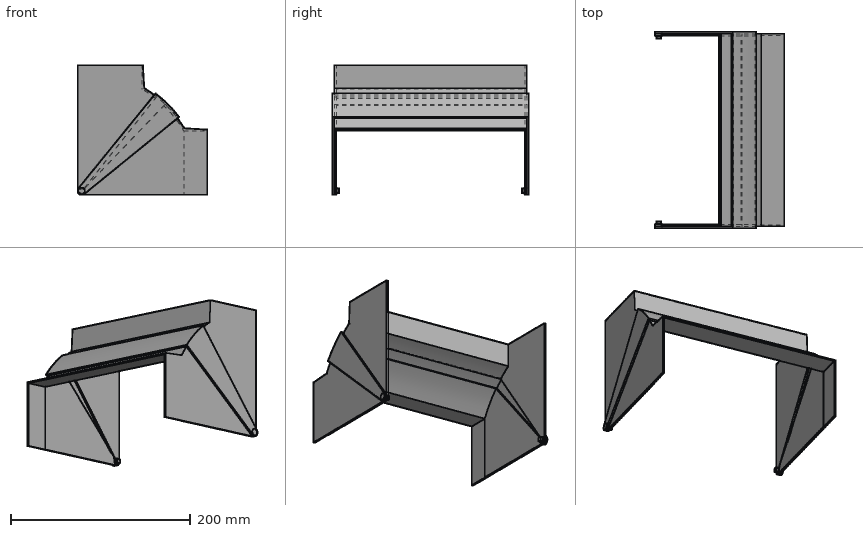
import cadquery as cq
import math

overall_width = 219.5
frame_size = 145.0
sheet = 2.2

hub_radius = 4.5
pin_radius = 3.7
collar_radius = 3.3
collar_length = 0.9
tip_radius = 2.6
tip_length = 2.5

band_radius = 134.3
flange_root = 74.5
flange_end = 73.0
flange_inner = 71.5
notch_low_angle = 46.2
notch_high_angle = 51.6
step_start = 118.7
step_depth = 0.5

cover_half_angle = 5.9
diagonal = 45

frame_width = overall_width - 2 * sheet
inner_width = frame_width - 2 * sheet
cover_radius = band_radius + sheet
band_inner_radius = band_radius - sheet


def polar(radius, degrees):
    """Point (X, Z) at a radius and angle about the hinge axis."""
    angle = math.radians(degrees)
    return (hub_radius + radius * math.cos(angle), hub_radius + radius * math.sin(angle))


def extrude_across(outline, width):
    """Extrude an XZ outline symmetrically about the Y = 0 plane."""
    return outline.extrude(width / 2, both=True)


def frame_block(radius, root, end, width):
    """Solid with two mirrored flanges, an arc between them and a rounded hinge corner."""
    root_offset = root - hub_radius
    root_far = hub_radius + math.sqrt(radius**2 - root_offset**2)
    outline = (
        cq.Workplane("XZ")
        .moveTo(hub_radius, 0)
        .lineTo(frame_size, 0)
        .lineTo(frame_size, end)
        .lineTo(root_far, root)
        .threePointArc(polar(radius, diagonal), (root, root_far))
        .lineTo(end, frame_size)
        .lineTo(0, frame_size)
        .lineTo(0, hub_radius)
        .threePointArc(polar(hub_radius, diagonal + 180), (hub_radius, 0))
        .close()
    )
    return extrude_across(outline, width)


def notch():
    """Narrow sector between the two halves of the frame, outside the hub."""
    middle_angle = (notch_low_angle + notch_high_angle) / 2
    outline = (
        cq.Workplane("XZ")
        .moveTo(*polar(hub_radius, notch_low_angle))
        .lineTo(*polar(cover_radius, notch_low_angle))
        .lineTo(*polar(cover_radius, notch_high_angle))
        .lineTo(*polar(hub_radius, notch_high_angle))
        .threePointArc(polar(hub_radius, middle_angle), polar(hub_radius, notch_low_angle))
        .close()
    )
    return extrude_across(outline, overall_width)


def wall_step():
    """Shallow step inside the side walls at the end of the lower half."""
    length = frame_size - step_start
    return (
        cq.Workplane("XY")
        .box(length, inner_width + 2 * step_depth, flange_inner, centered=(False, True, False))
        .translate((step_start, 0, 0))
    )


def pin_bore():
    outline = cq.Workplane("XZ").center(hub_radius, hub_radius).circle(pin_radius)
    return extrude_across(outline, overall_width)


def make_frame():
    outside = frame_block(band_radius, flange_root, flange_end, frame_width)
    inside = frame_block(band_inner_radius, flange_inner, flange_inner, inner_width)
    return outside.cut(inside).cut(notch()).cut(wall_step()).cut(pin_bore())


def cover_block(radius, width):
    """Sector whose straight edges run tangent to the hinge hub."""
    low = diagonal - cover_half_angle
    high = diagonal + cover_half_angle
    swing = math.degrees(math.asin(hub_radius / radius))
    outline = (
        cq.Workplane("XZ")
        .moveTo(*polar(hub_radius, low - 90))
        .lineTo(*polar(radius, low - swing))
        .threePointArc(polar(radius, diagonal), polar(radius, high + swing))
        .lineTo(*polar(hub_radius, high + 90))
        .threePointArc(polar(hub_radius, diagonal + 180), polar(hub_radius, low - 90))
        .close()
    )
    return extrude_across(outline, width)


def make_cover():
    outside = cover_block(cover_radius, overall_width)
    inside = extrude_across(
        cq.Workplane("XZ").center(hub_radius, hub_radius).circle(band_radius), frame_width
    )
    return outside.cut(inside).cut(pin_bore())


def make_pin(side):
    """Stepped pin from the outer cover face inwards; side is -1 or 1 along Y."""
    steps = [
        (pin_radius, 2 * sheet),
        (collar_radius, collar_length),
        (tip_radius, tip_length),
    ]
    axis = cq.Vector(0, -side, 0)
    start = cq.Vector(hub_radius, side * overall_width / 2, hub_radius)
    pin = cq.Workplane("XY")
    for radius, length in steps:
        pin = pin.union(cq.Workplane(cq.Solid.makeCylinder(radius, length, start, axis)))
        start = start + axis * length
    return pin


frame = make_frame()
cover = make_cover()
pins = [make_pin(side) for side in (-1, 1)]

result = cq.Compound.makeCompound(
    [frame.solids().val(), cover.solids().val(), *[pin.solids().val() for pin in pins]]
)